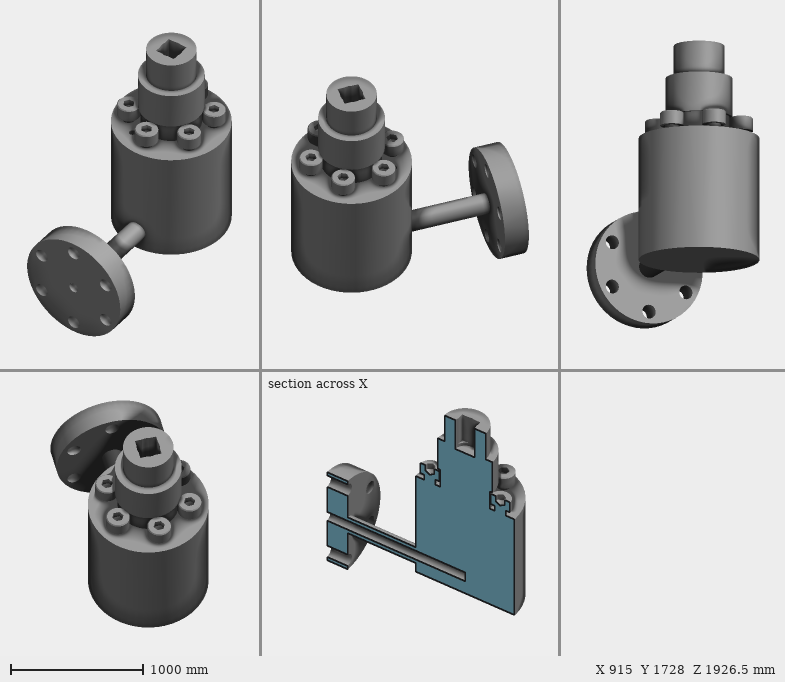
import cadquery as cq
import math

body_diameter = 915.0
body_height = 940.0
neck_diameter = 465.0
neck_top = 1102.0
collar_diameter = 507.0
collar_top = 1405.0
spindle_diameter = 383.0
spindle_top = 1657.0

drive_square = 165.0
drive_pilot_diameter = 175.0
drive_depth = spindle_top - collar_top
drive_pilot_extra_depth = 29.0

bolt_count = 6
bolt_circle_radius = 324.0
bolt_shank_diameter = 105.0
bolt_head_diameter = 180.0
bolt_head_bottom = 985.0
bolt_head_top = 1089.0
bolt_head_chamfer = 8.0
hex_sides = 6
hex_across_flats = 77.0
hex_diagonal = hex_across_flats / math.cos(math.pi / hex_sides)
hex_depth = 52.0
hex_tip_half_angle = 60

vent_diameter = 52.0
vent_depth = 155.0
vent_angle = 240

pipe_diameter = 160.0
pipe_axis_height = 164.0
pipe_bore_diameter = 80.0
flange_diameter = 867.0
flange_thickness = 190.0
overall_length = 1728.0
flange_face_distance = overall_length - body_diameter / 2
flange_hole_count = 6
flange_hole_circle_radius = 343.0
flange_hole_diameter = 105.0

pattern_start_angle = 90


def disc(diameter, bottom, top):
    """Vertical cylinder on the Z axis between two heights."""
    return cq.Workplane("XY").workplane(offset=bottom).circle(diameter / 2).extrude(top - bottom)


def side_disc(diameter, start, end):
    """Cylinder on the pipe axis between two distances from the body axis, towards -Y."""
    plane = cq.Workplane("XZ", origin=(0, -start, pipe_axis_height))
    return plane.circle(diameter / 2).extrude(end - start)


def make_body():
    body = disc(body_diameter, 0, body_height)
    body = body.union(disc(neck_diameter, body_height, neck_top))
    body = body.union(disc(collar_diameter, neck_top, collar_top))
    return body.union(disc(spindle_diameter, collar_top, spindle_top))


def make_drive_socket():
    square_bottom = spindle_top - drive_depth
    square = cq.Workplane("XY").workplane(offset=square_bottom).rect(drive_square, drive_square)
    pilot = disc(drive_pilot_diameter, square_bottom - drive_pilot_extra_depth, spindle_top)
    return square.extrude(drive_depth).union(pilot)


def make_hex_socket():
    """Hexagonal recess with a conical bottom that meets the hexagon's flats."""
    hex_bottom = bolt_head_top - hex_depth
    tip_radius = hex_across_flats / 2
    tip_depth = tip_radius / math.tan(math.radians(hex_tip_half_angle))
    floor = cq.Workplane("XY").workplane(offset=hex_bottom)
    hexagon = floor.polygon(hex_sides, hex_diagonal).extrude(hex_depth)
    tip = cq.Solid.makeCone(tip_radius, 0, tip_depth, cq.Vector(0, 0, hex_bottom), cq.Vector(0, 0, -1))
    return hexagon.union(cq.Workplane(tip))


def make_bolt():
    """One bolt on the Z axis, standing on the top of the body."""
    head = disc(bolt_head_diameter, bolt_head_bottom, bolt_head_top)
    head = head.faces(">Z").edges().chamfer(bolt_head_chamfer)
    shank = disc(bolt_shank_diameter, body_height, bolt_head_bottom)
    return head.union(shank).cut(make_hex_socket())


def add_bolts(part):
    bolt = make_bolt()
    for index in range(bolt_count):
        angle = math.radians(pattern_start_angle + index * 360 / bolt_count)
        x = bolt_circle_radius * math.cos(angle)
        y = bolt_circle_radius * math.sin(angle)
        part = part.union(bolt.translate((x, y, 0)))
    return part


def make_vent_hole():
    angle = math.radians(vent_angle)
    x = bolt_circle_radius * math.cos(angle)
    y = bolt_circle_radius * math.sin(angle)
    return disc(vent_diameter, body_height - vent_depth, body_height).translate((x, y, 0))


def make_flanged_pipe():
    flange_back = flange_face_distance - flange_thickness
    flange = side_disc(flange_diameter, flange_back, flange_face_distance)
    holes = (
        cq.Workplane("XZ", origin=(0, -flange_back, pipe_axis_height))
        .polarArray(flange_hole_circle_radius, pattern_start_angle, 360, flange_hole_count)
        .circle(flange_hole_diameter / 2)
        .extrude(flange_thickness)
    )
    return side_disc(pipe_diameter, 0, flange_back).union(flange.cut(holes))


result = make_body().union(make_flanged_pipe())
result = result.cut(side_disc(pipe_bore_diameter, 0, flange_face_distance))
result = result.cut(make_drive_socket()).cut(make_vent_hole())
result = add_bolts(result)